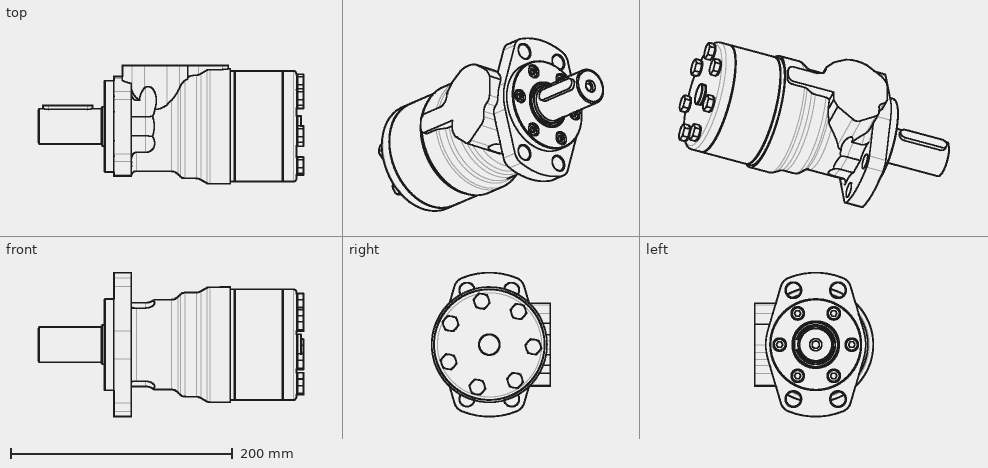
import cadquery as cq
import math


SHAFT_END_X = -67.9
PILOT_FACE_X = -8.5
FLANGE_BACK_X = 15.8
HOUSING_END_X = 105.0
PLATE_END_X = 108.9
RING_END_X = 152.3
COVER_END_X = 164.7

SHAFT_DIA = 32.0
SHAFT_CHAMFER_LENGTH = 0.8
SHAFT_CHAMFER_DEPTH = 1.5
SHOULDER_DIA = 35.7
SHOULDER_START_X = -10.2
SHOULDER_CONE_LENGTH = 1.3
JOURNAL_DIA = 35.0
CENTRE_HOLE_DIA = 6.65
CENTRE_HOLE_MOUTH_DIA = 11.0
CENTRE_HOLE_MOUTH_DEPTH = 3.0
CENTRE_HOLE_DEPTH = 16.0
DRILL_POINT_ANGLE = 118.0
KEY_WIDTH = 10.0
KEY_LENGTH = 45.0
KEY_HEIGHT = 8.0
KEY_TOP_Y = 19.0
KEY_START_X = -64.0

FLANGE_TIP_RADIUS = 65.0
FLANGE_SIDE_RADIUS = 45.0
FLANGE_TAPER = math.radians(16.3)
FLANGE_CORNER_RADIUS = 12.0
MOUNT_CIRCLE_DIA = 106.0
MOUNT_HOLE_DIA = 13.35
MOUNT_HOLE_CHAMFER = 0.7
MOUNT_HOLE_ANGLE = 22.3
PILOT_DIA = 82.5
PILOT_CHAMFER = 0.7
SEAL_RECESS_DIA = 39.6
SEAL_RIM_DIA = 41.2
SEAL_RIM_CHAMFER = 0.7
SEAL_RIM_DEPTH = 1.0
SEAL_RECESS_DEPTH = 1.5
SCREW_COUNT = 6
SCREW_CIRCLE_DIA = 65.0
SCREW_POCKET_DIA = 11.9
SCREW_POCKET_DEPTH = 3.0
SCREW_HEAD_DIA = 10.0
SCREW_HEAD_DROP = 1.5
SCREW_SOCKET_FLATS = 5.0
SCREW_SOCKET_DEPTH = 2.0

STEP_SLOPE = math.radians(30)
NECK_RADIUS = 40.5
MIDDLE_RADIUS = 47.0
END_RADIUS = 52.0
NECK_END_X = 55.1
MIDDLE_START_X = NECK_END_X + (MIDDLE_RADIUS - NECK_RADIUS)
MIDDLE_END_X = 76.3
END_START_X = MIDDLE_END_X + (END_RADIUS - MIDDLE_RADIUS) / math.tan(STEP_SLOPE)
INNER_BLEND = 8.0
OUTER_BLEND = 5.5

CLEARANCE_FLAT_Z = 37.8
CLEARANCE_RADIUS = 24.6
CLEARANCE_Y = 23.2
CLEARANCE_Z = 57.6
CLEARANCE_END_X = 41.5
CLEARANCE_END_ROUND = 13.0

PORT_FACE_Y = 55.0
CROWN_X = 37.55
CROWN_HALF_WIDTH = 9.95
CROWN_EDGE_Z = 35.8
CROWN_TOP_Z = 37.5
BLOCK_START_X = 7.8
SHOULDER_X = 16.0
SHOULDER_Z = 28.4
SHOULDER_RADIUS = 21.0
ARM_SIDE_X = 66.6
ARM_SIDE_Z = 19.5
ARM_START_X = 76.1
ARM_END_X = 103.2
ARM_HALF_WIDTH = 9.0
ARM_CORNER = 5.4
NOTCH_X = 15.6
NOTCH_TOP_Z = -13.3
NOTCH_WALL_END_Z = -18.4
LOWER_CROWN_HALF_WIDTH = 4.0
LOWER_SHOULDER_X = 19.6
LOWER_SHOULDER_Z = -25.6

RING_DIA = 100.0
RING_CHAMFER = 0.4
COVER_ROUND = 3.0
BOLT_COUNT = 7
BOLT_CIRCLE_DIA = 79.5
BOLT_START_ANGLE = 48.6
BOLT_FLATS = 13.0
BOLT_HEAD_HEIGHT = 6.3
BOLT_WASHER_DIA = 13.35
BOLT_WASHER_HEIGHT = 1.0
BOLT_TURN = 49.0
BOLT_CHAMFER = 0.6
PLUG_DIA = 19.0
PLUG_BASE_DIA = 18.63
PLUG_BASE_HEIGHT = 1.2
PLUG_HEIGHT = 4.2
PLUG_CHAMFER = 0.5

HEX_CORNER_RATIO = 2 / math.sqrt(3)


def disc(start_x, end_x, dia, y=0.0, z=0.0):
    """Cylinder along X."""
    return cq.Workplane("YZ", origin=(start_x, y, z)).circle(dia / 2).extrude(end_x - start_x)


def revolve_about_x(points):
    """Solid of revolution from an (x, radius) outline that starts and ends on the axis."""
    return cq.Workplane("XY").polyline(points).close().revolve(360, (0, 0, 0), (1, 0, 0))


def ring_edges(solid, x):
    """Circular edges centred on the axis at the given X."""
    tol = 0.05
    return solid.edges(cq.selectors.BoxSelector((x - tol, -tol, -tol), (x + tol, tol, tol)))


def polar_points(count, dia, start_angle):
    """(y, z) places evenly spaced on a circle about the axis."""
    angles = [math.radians(start_angle + 360 * i / count) for i in range(count)]
    return [(dia / 2 * math.cos(a), dia / 2 * math.sin(a)) for a in angles]


def make_key():
    middle_x = KEY_START_X + KEY_LENGTH / 2
    return (
        cq.Workplane("XZ", origin=(middle_x, KEY_TOP_Y, 0))
        .slot2D(KEY_LENGTH, KEY_WIDTH)
        .extrude(KEY_HEIGHT)
    )


def make_shaft(key):
    radius = SHAFT_DIA / 2
    seat_x = PILOT_FACE_X + SEAL_RECESS_DEPTH
    shaft = revolve_about_x([
        (SHAFT_END_X, 0),
        (SHAFT_END_X, radius - SHAFT_CHAMFER_DEPTH),
        (SHAFT_END_X + SHAFT_CHAMFER_LENGTH, radius),
        (SHOULDER_START_X - SHOULDER_CONE_LENGTH, radius),
        (SHOULDER_START_X, JOURNAL_DIA / 2),
        (SHOULDER_START_X, SHOULDER_DIA / 2),
        (seat_x, SHOULDER_DIA / 2),
        (seat_x, JOURNAL_DIA / 2),
        (FLANGE_BACK_X, JOURNAL_DIA / 2),
        (FLANGE_BACK_X, 0),
    ])
    hole_radius = CENTRE_HOLE_DIA / 2
    mouth_radius = CENTRE_HOLE_MOUTH_DIA / 2
    mouth_end_x = SHAFT_END_X + CENTRE_HOLE_MOUTH_DEPTH
    hole_end_x = SHAFT_END_X + CENTRE_HOLE_DEPTH
    point_length = hole_radius / math.tan(math.radians(DRILL_POINT_ANGLE / 2))
    centre_hole = revolve_about_x([
        (SHAFT_END_X, 0),
        (SHAFT_END_X, mouth_radius),
        (mouth_end_x, mouth_radius),
        (mouth_end_x, hole_radius),
        (hole_end_x, hole_radius),
        (hole_end_x + point_length, 0),
    ])
    return shaft.cut(centre_hole).cut(key)


def make_barrel():
    barrel = revolve_about_x([
        (0, 0),
        (0, NECK_RADIUS),
        (NECK_END_X, NECK_RADIUS),
        (MIDDLE_START_X, MIDDLE_RADIUS),
        (MIDDLE_END_X, MIDDLE_RADIUS),
        (END_START_X, END_RADIUS),
        (HOUSING_END_X, END_RADIUS),
        (HOUSING_END_X, 0),
    ])
    for x, radius in (
        (NECK_END_X, INNER_BLEND),
        (MIDDLE_START_X, OUTER_BLEND),
        (MIDDLE_END_X, INNER_BLEND),
        (END_START_X, OUTER_BLEND),
    ):
        barrel = ring_edges(barrel, x).fillet(radius)
    return barrel


def make_neck_root():
    """Concave fillet from the neck out to the rounded side of the flange."""
    root = FLANGE_SIDE_RADIUS - NECK_RADIUS
    diagonal = root * (1 - math.sqrt(0.5))
    return (
        cq.Workplane("XY")
        .moveTo(FLANGE_BACK_X, 0)
        .lineTo(FLANGE_BACK_X, FLANGE_SIDE_RADIUS)
        .threePointArc(
            (FLANGE_BACK_X + diagonal, NECK_RADIUS + diagonal),
            (FLANGE_BACK_X + root, NECK_RADIUS),
        )
        .lineTo(FLANGE_BACK_X + root, 0)
        .close()
        .revolve(360, (0, 0, 0), (1, 0, 0))
    )


def make_flange():
    """Oval plate: tapered sides tangent to the side arcs, cut off by the tip radius."""
    tangent_y = FLANGE_SIDE_RADIUS * math.cos(FLANGE_TAPER)
    tangent_z = FLANGE_SIDE_RADIUS * math.sin(FLANGE_TAPER)
    tip_y = tangent_y - (FLANGE_TIP_RADIUS - tangent_z) * math.tan(FLANGE_TAPER)
    sides = (
        cq.Workplane("YZ")
        .moveTo(tangent_y, -tangent_z)
        .threePointArc((FLANGE_SIDE_RADIUS, 0), (tangent_y, tangent_z))
        .lineTo(tip_y, FLANGE_TIP_RADIUS)
        .lineTo(-tip_y, FLANGE_TIP_RADIUS)
        .lineTo(-tangent_y, tangent_z)
        .threePointArc((-FLANGE_SIDE_RADIUS, 0), (-tangent_y, -tangent_z))
        .lineTo(-tip_y, -FLANGE_TIP_RADIUS)
        .lineTo(tip_y, -FLANGE_TIP_RADIUS)
        .close()
        .extrude(FLANGE_BACK_X)
    )
    flange = sides.intersect(disc(0, FLANGE_BACK_X, 2 * FLANGE_TIP_RADIUS))
    for side in (1, -1):
        corner_zone = cq.selectors.BoxSelector(
            (0, -FLANGE_SIDE_RADIUS, side * FLANGE_SIDE_RADIUS),
            (FLANGE_BACK_X, FLANGE_SIDE_RADIUS, side * FLANGE_TIP_RADIUS),
        )
        flange = flange.edges("|X").edges(corner_zone).fillet(FLANGE_CORNER_RADIUS)
    return flange


def make_port_block():
    """Port block with a crowned top and bottom and an arm along the barrel."""
    crown_start_x = CROWN_X - CROWN_HALF_WIDTH
    crown_end_x = CROWN_X + CROWN_HALF_WIDTH
    lower_crown_start_x = CROWN_X - LOWER_CROWN_HALF_WIDTH
    lower_crown_end_x = CROWN_X + LOWER_CROWN_HALF_WIDTH
    far_shoulder_x = 2 * CROWN_X - SHOULDER_X
    far_notch_x = 2 * CROWN_X - NOTCH_X
    far_lower_x = 2 * CROWN_X - LOWER_SHOULDER_X

    slope = math.atan2(CROWN_EDGE_Z - SHOULDER_Z, crown_start_x - SHOULDER_X)
    shoulder_centre_x = SHOULDER_X + SHOULDER_RADIUS * math.sin(slope)
    shoulder_centre_z = SHOULDER_Z - SHOULDER_RADIUS * math.cos(slope)
    corner_run = shoulder_centre_x - BLOCK_START_X
    corner_z = shoulder_centre_z + math.sqrt(SHOULDER_RADIUS**2 - corner_run**2)

    concave = 1 - math.sqrt(0.5)
    arm_mid_x = ARM_SIDE_X + (ARM_START_X - ARM_SIDE_X) * concave
    arm_mid_z = ARM_HALF_WIDTH + (ARM_SIDE_Z - ARM_HALF_WIDTH) * concave

    notch_mid = ((BLOCK_START_X + NOTCH_X) / 2, NOTCH_TOP_Z / 2)
    block = (
        cq.Workplane("XZ", origin=(0, PORT_FACE_Y, 0))
        .moveTo(lower_crown_start_x, -CROWN_EDGE_Z)
        .threePointArc((CROWN_X, -CROWN_TOP_Z), (lower_crown_end_x, -CROWN_EDGE_Z))
        .lineTo(far_lower_x, LOWER_SHOULDER_Z)
        .lineTo(far_notch_x, NOTCH_WALL_END_Z)
        .lineTo(far_notch_x, -ARM_HALF_WIDTH)
        .lineTo(ARM_END_X, -ARM_HALF_WIDTH)
        .lineTo(ARM_END_X, ARM_HALF_WIDTH)
        .lineTo(ARM_START_X, ARM_HALF_WIDTH)
        .threePointArc((arm_mid_x, arm_mid_z), (ARM_SIDE_X, ARM_SIDE_Z))
        .lineTo(far_shoulder_x, SHOULDER_Z)
        .lineTo(crown_end_x, CROWN_EDGE_Z)
        .threePointArc((CROWN_X, CROWN_TOP_Z), (crown_start_x, CROWN_EDGE_Z))
        .lineTo(SHOULDER_X, SHOULDER_Z)
        .tangentArcPoint((BLOCK_START_X, corner_z), relative=False)
        .lineTo(BLOCK_START_X, 0)
        .tangentArcPoint(notch_mid, relative=False)
        .tangentArcPoint((NOTCH_X, NOTCH_TOP_Z), relative=False)
        .lineTo(NOTCH_X, NOTCH_WALL_END_Z)
        .tangentArcPoint((LOWER_SHOULDER_X, LOWER_SHOULDER_Z), relative=False)
        .close()
        .extrude(PORT_FACE_Y)
    )
    return block.edges("|Y").edges(">X").fillet(ARM_CORNER)


def make_bolt_clearance():
    """Cutter for the flat and the two hollows behind the upper flange holes."""
    length = CLEARANCE_END_X - FLANGE_BACK_X
    height = CLEARANCE_Z - CLEARANCE_FLAT_Z
    flat = (
        cq.Workplane("XY")
        .box(length, 2 * CLEARANCE_Y, height, centered=(False, True, False))
        .translate((FLANGE_BACK_X, 0, CLEARANCE_FLAT_Z))
        .edges(">X and <Z")
        .fillet(CLEARANCE_END_ROUND)
    )
    cutter = flat
    for y in (CLEARANCE_Y, -CLEARANCE_Y):
        hollow = disc(FLANGE_BACK_X, CLEARANCE_END_X, 2 * CLEARANCE_RADIUS, y, CLEARANCE_Z)
        cutter = cutter.union(hollow.faces(">X").edges().fillet(CLEARANCE_END_ROUND))
    return cutter


def make_pilot():
    pilot = disc(PILOT_FACE_X, 0, PILOT_DIA)
    return pilot.faces("<X").edges().chamfer(PILOT_CHAMFER)


def make_screw_pockets():
    """Cutters that each leave a socket screw head standing inside a round pocket."""
    cutters = []
    floor_x = PILOT_FACE_X + SCREW_POCKET_DEPTH
    head_x = PILOT_FACE_X + SCREW_HEAD_DROP
    socket_dia = SCREW_SOCKET_FLATS * HEX_CORNER_RATIO
    for y, z in polar_points(SCREW_COUNT, SCREW_CIRCLE_DIA, 0):
        pocket = disc(PILOT_FACE_X, floor_x, SCREW_POCKET_DIA, y, z)
        head = disc(head_x, floor_x, SCREW_HEAD_DIA, y, z)
        socket = (
            cq.Workplane("YZ", origin=(head_x, y, z))
            .polygon(6, socket_dia)
            .extrude(SCREW_SOCKET_DEPTH)
        )
        cutters.append(pocket.cut(head).union(socket))
    return cutters


def make_shaft_bore():
    """Shaft bore with the stepped, shallow seal recess around its mouth."""
    rim_radius = SEAL_RIM_DIA / 2
    rim_x = PILOT_FACE_X + SEAL_RIM_DEPTH
    seat_x = PILOT_FACE_X + SEAL_RECESS_DEPTH
    return revolve_about_x([
        (PILOT_FACE_X, 0),
        (PILOT_FACE_X, rim_radius + SEAL_RIM_CHAMFER),
        (PILOT_FACE_X + SEAL_RIM_CHAMFER, rim_radius),
        (rim_x, rim_radius),
        (rim_x, SEAL_RECESS_DIA / 2),
        (seat_x, SEAL_RECESS_DIA / 2),
        (seat_x, JOURNAL_DIA / 2),
        (FLANGE_BACK_X, JOURNAL_DIA / 2),
        (FLANGE_BACK_X, 0),
    ])


def make_hole_mouth(y, z):
    """Conical mouth of a mounting hole."""
    hole_radius = MOUNT_HOLE_DIA / 2
    cone = revolve_about_x([
        (0, 0),
        (0, hole_radius + MOUNT_HOLE_CHAMFER),
        (MOUNT_HOLE_CHAMFER, hole_radius),
        (MOUNT_HOLE_CHAMFER, 0),
    ])
    return cone.translate((0, y, z))


def make_housing():
    housing = make_barrel().union(make_neck_root()).union(make_port_block())
    clearance = make_bolt_clearance()
    housing = housing.cut(clearance).cut(clearance.mirror("XY"))
    housing = housing.union(make_flange()).union(make_pilot())
    for angle in (MOUNT_HOLE_ANGLE, -MOUNT_HOLE_ANGLE):
        for y, z in polar_points(2, MOUNT_CIRCLE_DIA, 90 + angle):
            hole = disc(0, FLANGE_BACK_X, MOUNT_HOLE_DIA, y, z)
            housing = housing.cut(hole.union(make_hole_mouth(y, z)))
    for pocket in make_screw_pockets():
        housing = housing.cut(pocket)
    return housing.cut(make_shaft_bore())


def make_plate():
    plate = disc(HOUSING_END_X, PLATE_END_X, RING_DIA)
    return plate.faces(">X").edges().chamfer(RING_CHAMFER)


def make_gear_ring():
    ring = disc(PLATE_END_X, RING_END_X, RING_DIA)
    return ring.faces("<X or >X").edges().chamfer(RING_CHAMFER)


def make_bolt_head(y, z):
    """Hexagon head standing on its round washer face."""
    corner_dia = BOLT_FLATS * HEX_CORNER_RATIO
    hex_start_x = COVER_END_X + BOLT_WASHER_HEIGHT
    head_end_x = COVER_END_X + BOLT_HEAD_HEIGHT
    prism = cq.Workplane("YZ").polygon(6, corner_dia).extrude(head_end_x - hex_start_x)
    prism = prism.rotate((0, 0, 0), (1, 0, 0), BOLT_TURN).translate((hex_start_x, y, z))
    limit = disc(hex_start_x, head_end_x, corner_dia, y, z)
    limit = limit.faces(">X").edges().chamfer(BOLT_CHAMFER)
    washer = disc(COVER_END_X, hex_start_x, BOLT_WASHER_DIA, y, z)
    return prism.intersect(limit).union(washer)


def make_end_cover():
    cover = disc(RING_END_X, COVER_END_X, RING_DIA)
    cover = cover.faces("<X").edges().chamfer(RING_CHAMFER)
    cover = cover.faces(">X").edges().fillet(COVER_ROUND)
    plug_head_x = COVER_END_X + PLUG_BASE_HEIGHT
    plug_base = disc(COVER_END_X, plug_head_x, PLUG_BASE_DIA)
    plug_head = disc(plug_head_x, COVER_END_X + PLUG_HEIGHT, PLUG_DIA)
    plug_head = plug_head.faces(">X").edges().chamfer(PLUG_CHAMFER)
    cover = cover.union(plug_base).union(plug_head)
    for y, z in polar_points(BOLT_COUNT, BOLT_CIRCLE_DIA, BOLT_START_ANGLE):
        cover = cover.union(make_bolt_head(y, z))
    return cover


key = make_key()
shaft = make_shaft(key)
housing = make_housing()
plate = make_plate()
gear_ring = make_gear_ring()
end_cover = make_end_cover()

result = cq.Compound.makeCompound([
    shaft.val(),
    key.val(),
    housing.val(),
    plate.val(),
    gear_ring.val(),
    end_cover.val(),
])